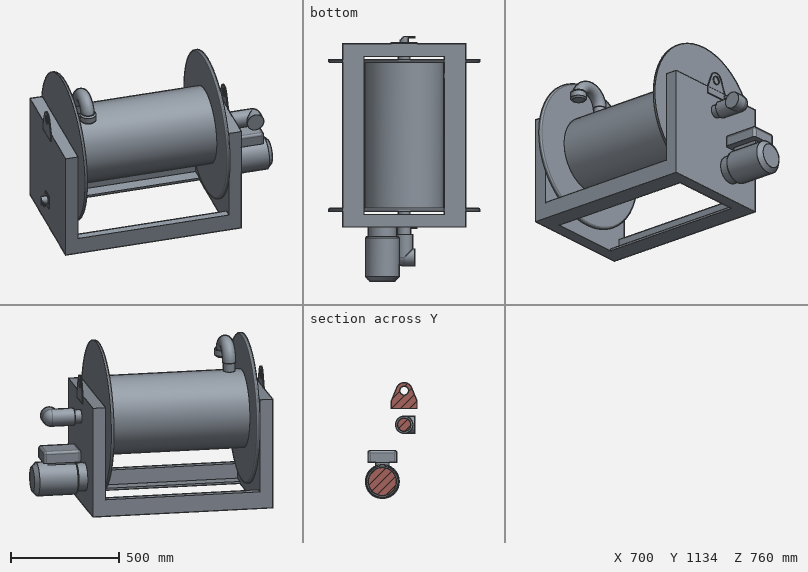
import cadquery as cq
import math


frame_width = 570
frame_length = 850
wall_height = 520
wall_thickness = 60
rail_height = 80
rail_width = 100
rail_web = 38
rail_flange = 10
wall_face = frame_length / 2
wall_gap = frame_length - 2 * wall_thickness

axis_height = 410
drum_diameter = 366
disc_diameter = 700
disc_thickness = 14
disc_rounding = 7
disc_clearance = 14
shaft_diameter = 56
drum_length = wall_gap - 2 * disc_clearance

lug_width = 120
lug_thickness = 5
lug_bottom = 485
lug_shoulder = wall_height
lug_hole_height = 568
lug_hole_diameter = 40
lug_tip_diameter = 75
lug_tip_radius = lug_tip_diameter / 2

knob_height = 136
knob_plate_size = 62
knob_plate_thickness = 4
knob_diameter = 40
knob_length = 34
knob_bevel = knob_diameter / 2
handle_reach = 50
handle_thickness = 7

motor_x = -101
motor_height = 147
motor_diameter = 157
motor_neck_diameter = 131
motor_neck_length = 43
motor_length = 250
motor_end_chamfer = 21
motor_neck_chamfer = 6

box_width = 135
box_start = 31
box_end = 207
box_bottom = 236
box_top = 291
box_rounding = 12
plinth_width = 62
plinth_start = 53
plinth_end = 180

inlet_neck_diameter = 62
inlet_neck_length = 33
inlet_diameter = 80
inlet_elbow_offset = 140
inlet_arm_reach = 50

outlet_from_front = 149
outlet_pipe_diameter = 56
outlet_bend_diameter = 62
outlet_bend_radius = 76
outlet_bend_height = 632
collar_diameter = 75
collar_bottom = 623
collar_height = 42
collar_chamfer = 8


def cylinder_y(x, z, diameter, start, end):
    """Cylinder parallel to Y between two Y positions."""
    axis = cq.Workplane("XZ", origin=(x, start, z))
    return axis.circle(diameter / 2).extrude(start - end)


def block(x_range, y_range, z_range):
    """Box given by its limits along each axis."""
    (x0, x1), (y0, y1), (z0, z1) = x_range, y_range, z_range
    solid = cq.Workplane("XY").box(x1 - x0, y1 - y0, z1 - z0, centered=False)
    return solid.translate((x0, y0, z0))


def make_frame():
    """Two end walls joined by a pair of angle-section rails."""
    half = frame_width / 2
    frame = None
    for side in (-1, 1):
        inner = wall_face - wall_thickness
        y_range = sorted((side * inner, side * wall_face))
        wall = block((-half, half), y_range, (0, wall_height))
        frame = wall if frame is None else frame.union(wall)
    for side in (-1, 1):
        y_range = (-wall_face, wall_face)
        web = sorted((side * half, side * (half - rail_web)))
        flange = sorted((side * half, side * (half - rail_width)))
        frame = frame.union(block(web, y_range, (0, rail_height)))
        frame = frame.union(block(flange, y_range, (0, rail_flange)))
    return frame


def make_reel():
    """Drum with a disc at each end, on a shaft between the walls."""
    half = drum_length / 2
    reel = cylinder_y(0, axis_height, drum_diameter, -half, half)
    reel = reel.union(cylinder_y(0, axis_height, shaft_diameter, -wall_gap / 2, wall_gap / 2))
    front = cylinder_y(0, axis_height, disc_diameter, -half, -half + disc_thickness)
    front = front.faces(">Y").edges().fillet(disc_rounding)
    return reel.union(front).union(front.mirror("XZ"))


def make_lug():
    """Lifting lug on the outside of the front wall, tapering to a round tip."""
    half = lug_width / 2
    rise = lug_hole_height - lug_shoulder
    tangent = math.acos(lug_tip_radius / math.hypot(half, rise)) - math.atan2(rise, half)
    tip_x = lug_tip_radius * math.cos(tangent)
    tip_z = lug_hole_height + lug_tip_radius * math.sin(tangent)
    lug = (
        cq.Workplane("XZ", origin=(0, -wall_face, 0))
        .moveTo(-half, lug_bottom)
        .lineTo(half, lug_bottom)
        .lineTo(half, lug_shoulder)
        .lineTo(tip_x, tip_z)
        .threePointArc((0, lug_hole_height + lug_tip_radius), (-tip_x, tip_z))
        .lineTo(-half, lug_shoulder)
        .close()
        .extrude(lug_thickness)
    )
    hole = cylinder_y(0, lug_hole_height, lug_hole_diameter, -wall_face - lug_thickness, -wall_face)
    return lug.cut(hole)


def make_knob():
    """Bevelled knob with a square base plate and a small side handle."""
    tip = -wall_face - knob_length
    half_plate = knob_plate_size / 2
    plate = block(
        (-half_plate, half_plate),
        (-wall_face - knob_plate_thickness, -wall_face),
        (knob_height - half_plate, knob_height + half_plate),
    )
    knob = cylinder_y(0, knob_height, knob_diameter, tip, -wall_face)
    bevel = (
        cq.Workplane("XY", origin=(0, 0, knob_height))
        .polyline([(0, tip), (-knob_bevel, tip), (-knob_bevel, tip + knob_bevel)])
        .close()
        .extrude(knob_diameter / 2, both=True)
    )
    handle = block(
        (0, handle_reach),
        (tip, tip + handle_thickness),
        (knob_height - handle_thickness / 2, knob_height + handle_thickness / 2),
    )
    return plate.union(knob.cut(bevel)).union(handle)


def make_motor():
    """Motor on the rear wall with its terminal box on top."""
    neck_end = wall_face + motor_neck_length
    motor_end = wall_face + motor_length
    neck = cylinder_y(motor_x, motor_height, motor_neck_diameter, wall_face, neck_end)
    body = cylinder_y(motor_x, motor_height, motor_diameter, neck_end, motor_end)
    body = body.faces(">Y").edges().chamfer(motor_end_chamfer)
    body = body.faces("<Y").edges().chamfer(motor_neck_chamfer)
    plinth = block(
        (motor_x - plinth_width / 2, motor_x + plinth_width / 2),
        (wall_face + plinth_start, wall_face + plinth_end),
        (motor_height, box_bottom),
    )
    box = block(
        (motor_x - box_width / 2, motor_x + box_width / 2),
        (wall_face + box_start, wall_face + box_end),
        (box_bottom, box_top),
    )
    box = box.edges("|Z or >Z").fillet(box_rounding)
    return neck.union(body).union(plinth).union(box)


def make_inlet():
    """Rotary inlet: stepped pipe turning to +X through a ball elbow."""
    neck_end = wall_face + inlet_neck_length
    elbow = wall_face + inlet_elbow_offset
    radius = inlet_diameter / 2
    inlet = cylinder_y(0, axis_height, inlet_neck_diameter, wall_face, neck_end)
    inlet = inlet.union(cylinder_y(0, axis_height, inlet_diameter, neck_end, elbow))
    arm = cq.Workplane("YZ", origin=(0, elbow, axis_height)).circle(radius).extrude(inlet_arm_reach)
    ball = cq.Workplane("XY").sphere(radius).translate((0, elbow, axis_height))
    return inlet.union(arm).union(ball)


def make_outlet():
    """Outlet pipe rising from the drum into a half-turn bend with an end collar."""
    y = -wall_face + outlet_from_front
    pipe = (
        cq.Workplane("XY", origin=(0, y, axis_height))
        .circle(outlet_pipe_diameter / 2)
        .extrude(outlet_bend_height - axis_height)
    )
    bend = (
        cq.Workplane("XY", origin=(0, y, outlet_bend_height))
        .circle(outlet_bend_diameter / 2)
        .revolve(180, (outlet_bend_radius, 0, 0), (outlet_bend_radius, 1, 0))
    )
    collar = (
        cq.Workplane("XY", origin=(2 * outlet_bend_radius, y, collar_bottom))
        .circle(collar_diameter / 2)
        .extrude(collar_height)
        .edges()
        .chamfer(collar_chamfer)
    )
    return pipe.union(bend).union(collar)


lug = make_lug()
result = make_frame().union(make_reel())
for feature in (lug, lug.mirror("XZ"), make_knob(), make_motor(), make_inlet(), make_outlet()):
    result = result.union(feature)